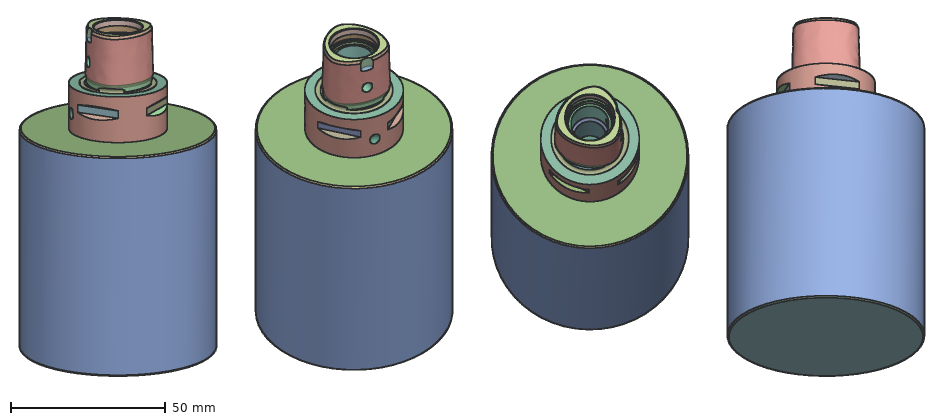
import cadquery as cq
import math

body_diameter = 64.0
body_edge_chamfer = 0.5
overall_length = 109.0
shank_length = 19.0
flange_length = 15.5
flange_diameter = 32.0
flange_radius = flange_diameter / 2
body_top = -flange_length
body_bottom = shank_length - overall_length

lobe_eccentricity = 0.7
shank_base_diameter = 22.25
shank_taper = 1 / 20
neck_diameter = 21.6
neck_top = 1.6
taper_start = 2.6
tip_chamfer_height = 1.0
tip_chamfer_inset = 0.5
polygon_points = 60

ring_groove_radius = 0.95
ring_groove_centre_radius = 11.75
ring_groove_centre_height = 0.4

bore_mouth_diameter = 16.3
lead_in_diameter = 15.8
bore_diameter = 15.0
clamp_groove_diameter = 16.5
bore_floor_diameter = 14.0
counterbore_diameter = 12.3
tap_hole_diameter = 10.38
mouth_chamfer_depth = (bore_mouth_diameter - lead_in_diameter) / 2
clamp_groove_start = 2.05
clamp_groove_end = 4.4
bore_floor_depth = 5.6
bore_floor_chamfer = (bore_diameter - bore_floor_diameter) / 2
counterbore_depth = 16.0
tap_hole_depth = 30.0
drill_tip_angle = 118.0

cross_hole_diameter = 3.6
cross_hole_height = 8.0
dimple_diameter = 3.8
dimple_ball_radius = 2.5
dimple_height = -9.0
key_notch_diameter = 6.8
key_notch_depth = 3.2
key_notch_corner_radius = 1.05
key_notch_back = 9.0

gripper_slot_count = 4
gripper_slot_first_angle = 45.0
gripper_slot_height = -6.0
gripper_slot_floor_width = 2.5
gripper_slot_mouth_width = 4.5
gripper_slot_floor_distance = 14.2


def shank_diameter(height):
    return shank_base_diameter - shank_taper * height


def polygon_wire(diameter, height):
    """Constant-width three-lobed outline with its first lobe toward +Y."""
    def point(fraction):
        turn = 2 * math.pi * fraction
        along = (
            diameter / 2 * math.cos(turn)
            + 2 * lobe_eccentricity * math.cos(2 * turn)
            - lobe_eccentricity * math.cos(4 * turn)
        )
        across = (
            diameter / 2 * math.sin(turn)
            - 2 * lobe_eccentricity * math.sin(2 * turn)
            - lobe_eccentricity * math.sin(4 * turn)
        )
        return cq.Vector(-across, along, height)

    points = [point(0.5 + index / polygon_points) for index in range(polygon_points)]
    return cq.Wire.assembleEdges([cq.Edge.makeSpline(points, periodic=True)])


def polygon_section(lower_diameter, lower_height, upper_diameter, upper_height):
    lower = polygon_wire(lower_diameter, lower_height)
    upper = polygon_wire(upper_diameter, upper_height)
    return cq.Workplane(cq.Solid.makeLoft([lower, upper], True))


def make_body():
    body = (
        cq.Workplane("XY", origin=(0, 0, body_bottom))
        .circle(body_diameter / 2)
        .extrude(body_top - body_bottom)
        .edges()
        .chamfer(body_edge_chamfer)
    )
    flange = cq.Workplane("XY", origin=(0, 0, body_top)).circle(flange_radius).extrude(flange_length)
    return body.union(flange)


def make_shank():
    taper_end = shank_length - tip_chamfer_height
    end_diameter = shank_diameter(taper_end)
    tip_diameter = end_diameter - 2 * tip_chamfer_inset
    start_diameter = shank_diameter(taper_start)
    neck = polygon_section(neck_diameter, 0, neck_diameter, neck_top)
    foot = polygon_section(neck_diameter, neck_top, start_diameter, taper_start)
    taper = polygon_section(start_diameter, taper_start, end_diameter, taper_end)
    tip = polygon_section(end_diameter, taper_end, tip_diameter, shank_length)
    return neck.union(foot).union(taper).union(tip)


def make_ring_groove():
    return cq.Workplane(
        cq.Solid.makeTorus(
            ring_groove_centre_radius,
            ring_groove_radius,
            cq.Vector(0, 0, ring_groove_centre_height),
        )
    )


def drill_tip_length(diameter):
    return diameter / 2 / math.tan(math.radians(drill_tip_angle / 2))


def make_bore():
    tap_cone_depth = counterbore_depth + (counterbore_diameter - tap_hole_diameter) / 2
    diameters_and_depths = [
        (bore_mouth_diameter, 0),
        (lead_in_diameter, mouth_chamfer_depth),
        (bore_diameter, clamp_groove_start),
        (clamp_groove_diameter, clamp_groove_start),
        (clamp_groove_diameter, clamp_groove_end),
        (bore_diameter, clamp_groove_end),
        (bore_diameter, bore_floor_depth - bore_floor_chamfer),
        (bore_floor_diameter, bore_floor_depth),
        (counterbore_diameter, bore_floor_depth),
        (counterbore_diameter, counterbore_depth),
        (tap_hole_diameter, tap_cone_depth),
        (tap_hole_diameter, tap_hole_depth),
        (0, tap_hole_depth + drill_tip_length(tap_hole_diameter)),
    ]
    profile = [(diameter / 2, shank_length - depth) for diameter, depth in diameters_and_depths]
    return (
        cq.Workplane("XZ")
        .moveTo(0, shank_length)
        .polyline(profile, includeCurrent=True)
        .close()
        .revolve(360, (0, 0, 0), (0, 1, 0))
    )


def make_cross_hole():
    """Radial hole from the -Y side into the bore."""
    return (
        cq.Workplane("XZ", origin=(0, 0, cross_hole_height))
        .circle(cross_hole_diameter / 2)
        .extrude(shank_base_diameter / 2)
    )


def make_dimple():
    """Ball-shaped dimple in the flange rim."""
    ball_offset = math.sqrt(dimple_ball_radius**2 - (dimple_diameter / 2) ** 2)
    ball_centre = (0, -flange_radius - ball_offset, dimple_height)
    return cq.Workplane("XY", origin=ball_centre).sphere(dimple_ball_radius)


def make_key_notch():
    """Milled notch with a rounded lower end, parallel to the axis, in the flat side of the shank tip."""
    radius = key_notch_diameter / 2
    rim_height = shank_length - key_notch_depth
    floor_height = rim_height - key_notch_corner_radius
    return (
        cq.Workplane("XZ", origin=(0, -key_notch_back - radius, 0))
        .moveTo(0, shank_length)
        .lineTo(radius, shank_length)
        .lineTo(radius, rim_height)
        .radiusArc((radius - key_notch_corner_radius, floor_height), key_notch_corner_radius)
        .lineTo(0, floor_height)
        .close()
        .revolve(360, (0, 0, 0), (0, 1, 0))
    )


def make_gripper_slot(angle):
    """Straight slot across the flange rim, with a flat floor and flared sides."""
    floor = gripper_slot_floor_distance
    half_floor = gripper_slot_floor_width / 2
    half_mouth = gripper_slot_mouth_width / 2
    return (
        cq.Workplane("XZ", origin=(0, 0, gripper_slot_height))
        .moveTo(floor, -half_floor)
        .lineTo(flange_radius, -half_mouth)
        .lineTo(flange_radius, half_mouth)
        .lineTo(floor, half_floor)
        .close()
        .extrude(flange_radius, both=True)
        .rotate((0, 0, 0), (0, 0, 1), angle)
    )


result = make_body().union(make_shank())
result = result.cut(make_ring_groove())
result = result.cut(make_bore())
result = result.cut(make_cross_hole())
result = result.cut(make_dimple())
result = result.cut(make_key_notch())
for slot_index in range(gripper_slot_count):
    slot_angle = gripper_slot_first_angle + slot_index * 360 / gripper_slot_count
    result = result.cut(make_gripper_slot(slot_angle))